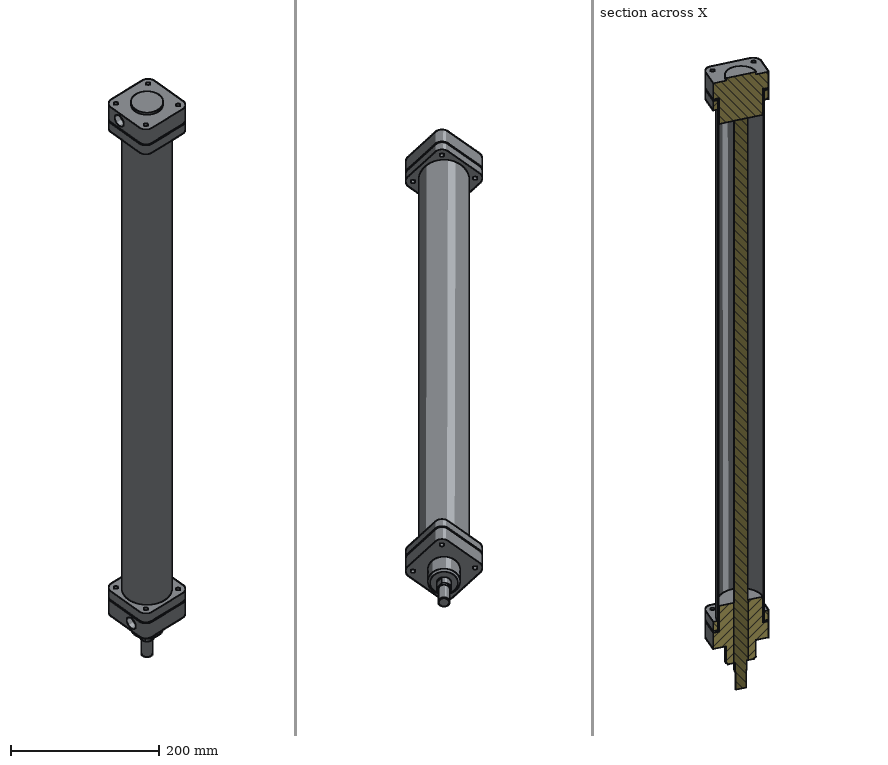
import cadquery as cq

total_length = 991.0
block_side = 80.0
corner_radius = 12.0

cap_height = 27.0
flange_height = 16.0
joint_gap = 2.0
bolt_hole_diameter = 6.0
bolt_offset = 30.0

boss_diameter = 44.0
rear_boss_height = 4.0
front_boss_height = 30.0
boss_chamfer = 3.0

port_diameter = 18.0
port_depth = 10.0
port_offset = 12.0

barrel_diameter = 68.0
bore_diameter = 63.0
plug_length = 42.0

rod_diameter = 20.0
flat_width = 17.0
thread_diameter = 16.0
thread_length = 29.0
thread_chamfer = 1.0

front_cap_bottom = 73.0
front_cap_top = front_cap_bottom + cap_height
front_flange_bottom = front_cap_top + joint_gap
rear_cap_top = total_length - rear_boss_height
rear_cap_bottom = rear_cap_top - cap_height
rear_flange_bottom = rear_cap_bottom - joint_gap - flange_height
front_boss_bottom = front_cap_bottom - front_boss_height
front_plug_top = front_cap_top + plug_length
rear_plug_bottom = rear_cap_bottom - plug_length
shoulder_chamfer = (rod_diameter - thread_diameter) / 2
flats_height = front_boss_bottom - thread_length


def cylinder(diameter, bottom, height):
    """Upright cylinder on the axis."""
    return cq.Workplane("XY").workplane(offset=bottom).circle(diameter / 2).extrude(height)


def square_block(bottom, height):
    """Square plate with rounded corners and four through holes for the bolts."""
    bolt_spacing = 2 * bolt_offset
    return (
        cq.Workplane("XY")
        .workplane(offset=bottom)
        .rect(block_side, block_side)
        .extrude(height)
        .edges("|Z")
        .fillet(corner_radius)
        .faces(">Z")
        .workplane()
        .rect(bolt_spacing, bolt_spacing, forConstruction=True)
        .vertices()
        .hole(bolt_hole_diameter)
    )


def port(x, cap_bottom):
    """Cutter for a blind air port at mid-height of a cap's -Y face."""
    return (
        cq.Workplane("XZ", origin=(x, -block_side / 2, cap_bottom + cap_height / 2))
        .circle(port_diameter / 2)
        .extrude(-port_depth)
    )


def make_front_cap():
    """Rod-side cap: chamfered guide boss below, barrel plug above and a bore for the rod."""
    boss = cylinder(boss_diameter, front_boss_bottom, front_boss_height)
    boss = boss.faces("<Z").chamfer(boss_chamfer)
    plug = cylinder(bore_diameter, front_cap_top, plug_length)
    rod_bore = cylinder(rod_diameter, front_boss_bottom, front_plug_top - front_boss_bottom)
    cap = square_block(front_cap_bottom, cap_height).union(boss).union(plug)
    return cap.cut(rod_bore).cut(port(port_offset, front_cap_bottom))


def make_rear_cap():
    """Closed cap with a low round boss on its outer face and a barrel plug on its inner face."""
    boss = cylinder(boss_diameter, rear_cap_top, rear_boss_height)
    plug = cylinder(bore_diameter, rear_plug_bottom, plug_length)
    cap = square_block(rear_cap_bottom, cap_height).union(boss).union(plug)
    return cap.cut(port(-port_offset, rear_cap_bottom))


def make_barrel():
    """Tube reaching from cap to cap through both flanges."""
    length = rear_cap_bottom - front_cap_top
    tube = cylinder(barrel_diameter, front_cap_top, length)
    return tube.cut(cylinder(bore_diameter, front_cap_top, length))


def make_flange(bottom):
    """Flange around one end of the barrel."""
    return square_block(bottom, flange_height).cut(cylinder(barrel_diameter, bottom, flange_height))


def make_rod():
    """Retracted piston rod: two wrench flats below the boss and a thinner threaded end."""
    shank = cylinder(rod_diameter, thread_length, rear_plug_bottom - thread_length)
    shank = shank.faces("<Z").chamfer(shoulder_chamfer)
    for side in (-1, 1):
        flat_cutter = cq.Workplane("XY").box(
            rod_diameter, rod_diameter, flats_height, centered=(True, True, False)
        )
        cutter_offset = side * (flat_width + rod_diameter) / 2
        shank = shank.cut(flat_cutter.translate((0, cutter_offset, thread_length)))
    thread = cylinder(thread_diameter, 0, thread_length).faces("<Z").chamfer(thread_chamfer)
    return shank.union(thread)


front_cap = make_front_cap()
rear_cap = make_rear_cap()
barrel = make_barrel()
flanges = [make_flange(bottom) for bottom in (front_flange_bottom, rear_flange_bottom)]
rod = make_rod()

result = cq.Compound.makeCompound(
    [front_cap.val(), rear_cap.val(), barrel.val(), *[flange.val() for flange in flanges], rod.val()]
)